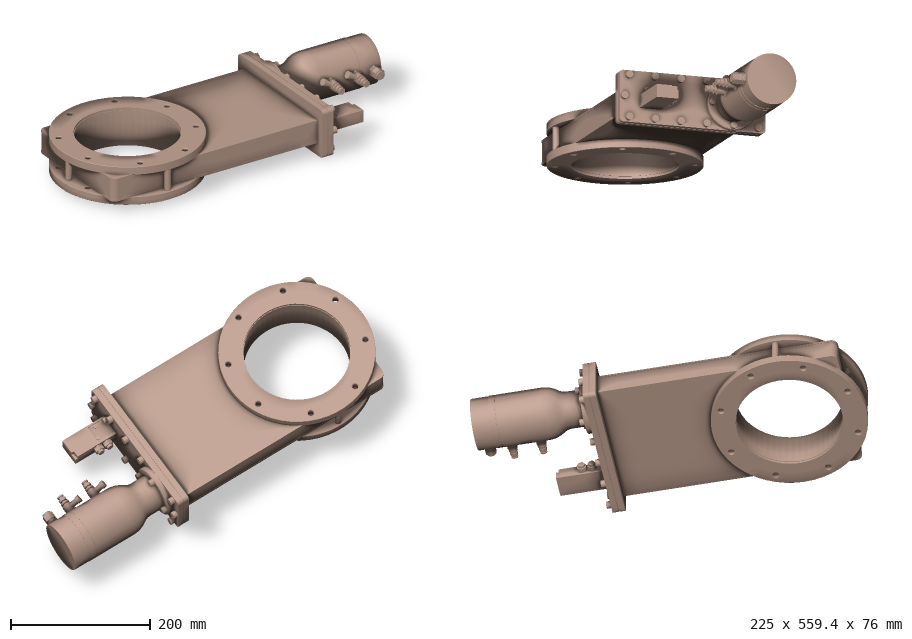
import cadquery as cq
import math


FLANGE_DIA = 225.0
FLANGE_TOP = 30.2
FLANGE_THICKNESS = 12.6
FLANGE_EDGE = 0.5
BORE_DIA = 152.5
BORE_RECESS_DIA = 154.0
BORE_RECESS_DEPTH = 3.7
BOLT_CIRCLE_DIA = 200.0
BOLT_COUNT = 8
BOLT_HOLE_DIA = 8.5
BOLT_HOLE_CHAMFER = 0.9
POST_DIA = 9.5
POST_SIDE_X = 105.3
POST_END_Y = -100.3

BODY_WIDTH = 194.5
BODY_HEIGHT = 36.3
BODY_END_Y = -88.2
BODY_CORNER_RADIUS = 9.5
SHEET_THICKNESS = 3.5
CORE_INSET = 0.4

BONNET_WIDTH = 222.0
BONNET_HEIGHT = 75.95
BONNET_CORNER_RADIUS = 5.5
BONNET_START_Y = 260.7
BONNET_PLATE = 8.6
GASKET_THICKNESS = 1.6
GASKET_INSET = 0.8
BONNET_FACE_Y = BONNET_START_Y + 2 * BONNET_PLATE + GASKET_THICKNESS
SCREW_DIA = 10.5
SCREW_HEIGHT = 6.8
SCREW_PITCH = 39.3
SCREW_ROW_COUNT = 6
SCREW_ROW_Z = 31.0
END_SCREW_X = 105.6

MOTOR_X = -58.7
MOTOR_RADIUS = BONNET_HEIGHT / 2
CAP_RADIUS = MOTOR_RADIUS - 0.6
NECK_RADIUS = 26.8
NECK_BLEND_RADIUS = 22.0
DOME_CENTRE_Y = 343.6
OUTER_LENGTH_Y = 559.36
MOTOR_END_Y = OUTER_LENGTH_Y - FLANGE_DIA / 2
CAP_START_Y = 421.0
BAND_START_Y = 410.6
GROOVE_WIDTH = 1.2
GROOVE_DEPTH = 0.5
GLAND_RADIUS = MOTOR_RADIUS
GLAND_HEIGHT = 8.0
GLAND_CHAMFER = 1.0
GLAND_SCREW_CIRCLE_RADIUS = 32.3
GLAND_SCREW_DIA = 10.0
GLAND_SCREW_HEIGHT = 6.8
GLAND_SCREW_CHAMFER = 0.9
GLAND_SCREW_COUNT = 4

MOTOR_SIDE_X = MOTOR_X + MOTOR_RADIUS
FITTING_ROOT = 3.0
CABLE_GLAND_Y = 433.8
CABLE_GLAND_HEX = 15.0
CABLE_GLAND_NECK_DIA = 13.0
CABLE_GLAND_BASE_END_X = -17.0
CABLE_GLAND_NUT_START_X = -15.2
CABLE_GLAND_NUT_END_X = -5.0
CABLE_GLAND_END_X = -2.2
ELBOW_YS = (402.2, 360.0)
ELBOW_BASE_HEX = 16.0
ELBOW_BASE_END_X = -18.6
ELBOW_STEPS = ((-7.0, 14.4), (-4.8, 8.0), (-2.0, 13.0), (0.4, 6.0), (4.4, 11.5), (7.6, 7.5), (9.6, 10.0))
ELBOW_LEG_X = -12.5
ELBOW_LEG_TILT = 30.0
ELBOW_LEG_LENGTH = 16.5
ELBOW_LEG_DIA = 8.6
ELBOW_END_DIA = 11.0
ELBOW_END_LENGTH = 5.5

BLOCK_LEFT_X = 47.4
BLOCK_WIDTH = 33.3
BLOCK_END_Y = 350.0
BLOCK_TOP = 3.0
BLOCK_HEIGHT = 19.0
NOTCH_WIDTH = 10.0
NOTCH_LENGTH = 4.0
NOTCH_DEPTH = 6.5
POCKET_LEFT = 4.0
POCKET_RIGHT = 3.0
POCKET_END_Y = 308.5
POCKET_DEPTH = 1.0
BLOCK_SCREWS = ((56.5, 304.6), (74.0, 298.0))
BLOCK_SCREW_DIA = 6.5
BLOCK_FITTING_YS = (311.4, 296.4)
BLOCK_FITTING_HEX = 13.0
BLOCK_FITTING_HEX_END_X = 40.5
BLOCK_FITTING_TIP_DIA = 10.0
BLOCK_FITTING_TIP_X = 37.2
BLOCK_SIDE_SCREW = (71.0, 10.0)
BLOCK_SIDE_SCREW_DIA = 8.5


def box(x_min, x_max, y_min, y_max, z_min, z_max):
    return cq.Workplane("XY").box(
        x_max - x_min, y_max - y_min, z_max - z_min, centered=False
    ).translate((x_min, y_min, z_min))


def rod(start, direction, diameter, length):
    """Cylinder from a start point along a direction."""
    return cq.Workplane(
        cq.Solid.makeCylinder(diameter / 2, length, cq.Vector(*start), cq.Vector(*direction))
    )


def hex_along_x(x_min, x_max, y, z, across_flats):
    """Hexagonal bar along X with corners toward +Z and -Z."""
    hexagon = cq.Workplane("YZ").polygon(6, across_flats / math.cos(math.radians(30)))
    return hexagon.extrude(x_max - x_min).rotate((0, 0, 0), (1, 0, 0), 90).translate((x_min, y, z))


def rod_along_x(x_min, x_max, y, z, diameter):
    return rod((x_min, y, z), (1, 0, 0), diameter, x_max - x_min)


def make_housing():
    half_width = BODY_WIDTH / 2
    half_height = BODY_HEIGHT / 2
    core_half_height = half_height - SHEET_THICKNESS
    end_y = BONNET_START_Y + BONNET_PLATE / 2
    sheets = box(-half_width, half_width, BODY_END_Y, end_y, -half_height, half_height)
    sheets = sheets.edges("|Z and <Y").fillet(BODY_CORNER_RADIUS)
    sheets = sheets.cut(
        box(-half_width, half_width, BODY_END_Y, end_y, -core_half_height, core_half_height)
    )
    core_half_width = half_width - CORE_INSET
    core = box(-core_half_width, core_half_width, BODY_END_Y + CORE_INSET, end_y, -half_height, half_height)
    core = core.edges("|Z and <Y").fillet(BODY_CORNER_RADIUS)
    return sheets.union(core)


def make_flange():
    flange = cq.Workplane("XY").circle(FLANGE_DIA / 2).extrude(FLANGE_THICKNESS)
    flange = flange.faces("<Z or >Z").edges().chamfer(FLANGE_EDGE)
    return flange.translate((0, 0, FLANGE_TOP - FLANGE_THICKNESS))


def make_bolt_holes():
    """Cutting tool for the top flange: straight holes with a 45 degree cone at each end."""
    flange_bottom = FLANGE_TOP - FLANGE_THICKNESS
    cone_radius = BOLT_HOLE_DIA / 2 + BOLT_HOLE_CHAMFER
    holes = cq.Workplane("XY")
    for i in range(BOLT_COUNT):
        angle = (i + 0.5) * 2 * math.pi / BOLT_COUNT
        x = BOLT_CIRCLE_DIA / 2 * math.cos(angle)
        y = BOLT_CIRCLE_DIA / 2 * math.sin(angle)
        holes = holes.add(rod((x, y, flange_bottom), (0, 0, 1), BOLT_HOLE_DIA, FLANGE_THICKNESS))
        for z, direction in ((FLANGE_TOP, -1), (flange_bottom, 1)):
            apex_axis = cq.Vector(0, 0, direction)
            holes = holes.add(cq.Solid.makeCone(cone_radius, 0, cone_radius, cq.Vector(x, y, z), apex_axis))
    return holes.combine()


def make_valve_body():
    flange = make_flange()
    holes = make_bolt_holes()
    body = make_housing()
    body = body.union(flange).union(flange.mirror("XY"))
    post_bottom = -FLANGE_TOP + FLANGE_THICKNESS / 2
    for x, y in ((-POST_SIDE_X, 0), (POST_SIDE_X, 0), (0, POST_END_Y)):
        body = body.union(rod((x, y, post_bottom), (0, 0, 1), POST_DIA, -2 * post_bottom))
    body = body.cut(holes).cut(holes.mirror("XY"))
    body = body.cut(rod((0, 0, -FLANGE_TOP), (0, 0, 1), BORE_DIA, 2 * FLANGE_TOP))
    recess = rod((0, 0, FLANGE_TOP), (0, 0, -1), BORE_RECESS_DIA, BORE_RECESS_DEPTH)
    return body.cut(recess).cut(recess.mirror("XY"))


def make_bonnet():
    def plate(start_y, thickness, inset):
        half_width = BONNET_WIDTH / 2 - inset
        half_height = BONNET_HEIGHT / 2 - inset
        slab = box(-half_width, half_width, start_y, start_y + thickness, -half_height, half_height)
        return slab.edges("|Y").fillet(BONNET_CORNER_RADIUS)

    gasket_y = BONNET_START_Y + BONNET_PLATE
    bonnet = plate(BONNET_START_Y, BONNET_PLATE, 0)
    bonnet = bonnet.union(plate(gasket_y, GASKET_THICKNESS, GASKET_INSET))
    bonnet = bonnet.union(plate(gasket_y + GASKET_THICKNESS, BONNET_PLATE, 0))

    places = [(-END_SCREW_X, 0), (END_SCREW_X, 0)]
    for i in range(SCREW_ROW_COUNT):
        x = (i - (SCREW_ROW_COUNT - 1) / 2) * SCREW_PITCH
        if abs(x - MOTOR_X) > SCREW_PITCH / 2:
            places += [(x, -SCREW_ROW_Z), (x, SCREW_ROW_Z)]
    for x, z in places:
        bonnet = bonnet.union(rod((x, BONNET_FACE_Y, z), (0, 1, 0), SCREW_DIA, SCREW_HEIGHT))
    return bonnet


def make_motor():
    """Actuator body, turned about an axis parallel to Y."""
    blend_reach = MOTOR_RADIUS + NECK_BLEND_RADIUS
    blend_r = NECK_RADIUS + NECK_BLEND_RADIUS
    blend_drop = math.sqrt(blend_reach**2 - blend_r**2)
    blend_y = DOME_CENTRE_Y - blend_drop
    touch = MOTOR_RADIUS / blend_reach
    touch_point = (blend_r * touch, DOME_CENTRE_Y - blend_drop * touch)
    profile = (
        cq.Workplane("XY")
        .moveTo(0, BONNET_FACE_Y)
        .lineTo(NECK_RADIUS, BONNET_FACE_Y)
        .lineTo(NECK_RADIUS, blend_y)
        .tangentArcPoint(touch_point, relative=False)
        .tangentArcPoint((MOTOR_RADIUS, DOME_CENTRE_Y), relative=False)
        .lineTo(MOTOR_RADIUS, CAP_START_Y)
        .lineTo(CAP_RADIUS, CAP_START_Y)
        .lineTo(CAP_RADIUS, MOTOR_END_Y)
        .lineTo(0, MOTOR_END_Y)
        .close()
    )
    motor = profile.revolve(360, (0, 0, 0), (0, 1, 0)).translate((MOTOR_X, 0, 0))
    for y in (BAND_START_Y, CAP_START_Y):
        groove_y = y - GROOVE_WIDTH / 2
        outer = rod((MOTOR_X, groove_y, 0), (0, 1, 0), 2 * MOTOR_RADIUS, GROOVE_WIDTH)
        inner = rod((MOTOR_X, groove_y, 0), (0, 1, 0), 2 * (MOTOR_RADIUS - GROOVE_DEPTH), GROOVE_WIDTH)
        motor = motor.cut(outer.cut(inner))

    gland_face_y = BONNET_FACE_Y + GLAND_HEIGHT
    gland = rod((MOTOR_X, BONNET_FACE_Y, 0), (0, 1, 0), 2 * GLAND_RADIUS, GLAND_HEIGHT)
    motor = motor.union(gland.faces(">Y").edges().chamfer(GLAND_CHAMFER))
    for i in range(GLAND_SCREW_COUNT):
        angle = 2 * math.pi * i / GLAND_SCREW_COUNT
        x = MOTOR_X + GLAND_SCREW_CIRCLE_RADIUS * math.cos(angle)
        z = GLAND_SCREW_CIRCLE_RADIUS * math.sin(angle)
        screw = rod((x, gland_face_y, z), (0, 1, 0), GLAND_SCREW_DIA, GLAND_SCREW_HEIGHT)
        motor = motor.union(screw.faces(">Y").edges().chamfer(GLAND_SCREW_CHAMFER))
    return motor


def make_cable_gland():
    root_x = MOTOR_SIDE_X - FITTING_ROOT
    fitting = rod_along_x(root_x, CABLE_GLAND_END_X, CABLE_GLAND_Y, 0, CABLE_GLAND_NECK_DIA)
    for start, end in (
        (root_x, CABLE_GLAND_BASE_END_X),
        (CABLE_GLAND_NUT_START_X, CABLE_GLAND_NUT_END_X),
    ):
        fitting = fitting.union(hex_along_x(start, end, CABLE_GLAND_Y, 0, CABLE_GLAND_HEX))
    return fitting


def make_elbow(y):
    """Hose connector along X with a side leg tilted upward from -Y."""
    fitting = hex_along_x(MOTOR_SIDE_X - FITTING_ROOT, ELBOW_BASE_END_X, y, 0, ELBOW_BASE_HEX)
    start = ELBOW_BASE_END_X
    for end, diameter in ELBOW_STEPS:
        fitting = fitting.union(rod_along_x(start, end, y, 0, diameter))
        start = end
    tilt = math.radians(ELBOW_LEG_TILT)
    direction = (0, -math.cos(tilt), math.sin(tilt))
    fitting = fitting.union(rod((ELBOW_LEG_X, y, 0), direction, ELBOW_LEG_DIA, ELBOW_LEG_LENGTH))
    end_start = (ELBOW_LEG_X, y + ELBOW_LEG_LENGTH * direction[1], ELBOW_LEG_LENGTH * direction[2])
    return fitting.union(rod(end_start, direction, ELBOW_END_DIA, ELBOW_END_LENGTH))


def make_solenoid():
    right_x = BLOCK_LEFT_X + BLOCK_WIDTH
    bottom = BLOCK_TOP - BLOCK_HEIGHT
    block = box(BLOCK_LEFT_X, right_x, BONNET_FACE_Y, BLOCK_END_Y, bottom, BLOCK_TOP)
    block = block.cut(box(
        BLOCK_LEFT_X, BLOCK_LEFT_X + NOTCH_WIDTH,
        BLOCK_END_Y - NOTCH_LENGTH, BLOCK_END_Y,
        BLOCK_TOP - NOTCH_DEPTH, BLOCK_TOP,
    ))
    pocket_floor = BLOCK_TOP - POCKET_DEPTH
    block = block.cut(box(
        BLOCK_LEFT_X + POCKET_LEFT, right_x - POCKET_RIGHT,
        BONNET_FACE_Y, POCKET_END_Y, pocket_floor, BLOCK_TOP,
    ))
    for x, y in BLOCK_SCREWS:
        block = block.union(rod((x, y, pocket_floor), (0, 0, 1), BLOCK_SCREW_DIA, POCKET_DEPTH))
    z = (BLOCK_TOP + bottom) / 2
    for y in BLOCK_FITTING_YS:
        block = block.union(hex_along_x(BLOCK_FITTING_HEX_END_X, BLOCK_LEFT_X, y, z, BLOCK_FITTING_HEX))
        tip = rod_along_x(BLOCK_FITTING_TIP_X, BLOCK_FITTING_HEX_END_X, y, z, BLOCK_FITTING_TIP_DIA)
        block = block.union(tip)
    screw_x, screw_z = BLOCK_SIDE_SCREW
    screw = rod((screw_x, BONNET_FACE_Y, screw_z), (0, 1, 0), BLOCK_SIDE_SCREW_DIA, SCREW_HEIGHT)
    block = block.union(screw)
    return block


result = make_valve_body().union(make_bonnet()).union(make_motor()).union(make_cable_gland())
for elbow_y in ELBOW_YS:
    result = result.union(make_elbow(elbow_y))
result = result.union(make_solenoid())